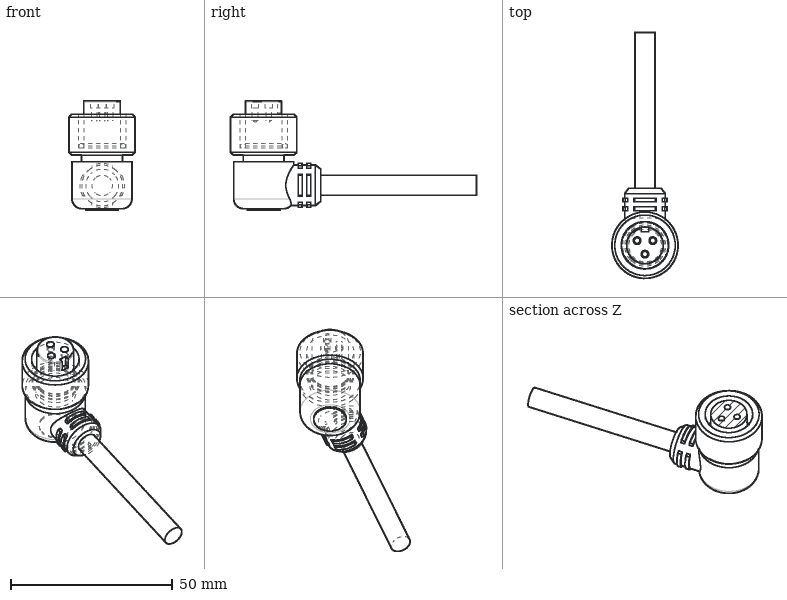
import cadquery as cq
import math


overall_length = 76.2
overall_height = 34.0

overlap = 0.8

nut_diameter = 20.6
nut_bottom = 17.1
nut_top = 29.8
nut_chamfer = 0.9
nut_bore_diameter = 14.7
nut_floor_thickness = 2.3

body_diameter = 18.7
body_top = 15.1
body_bottom_fillet = 3.2
pad_diameter = 10.1
pad_thickness = 0.45
neck_diameter = 12.7

insert_diameter = 11.35
insert_edge_fillet = 0.3
keyway_width = 2.2
keyway_floor_y = 4.3
keyway_depth = 3.8

seal_thickness = 1.6
seal_center_height = 0.6

socket_positions = [(-2.45, 1.45), (2.45, 1.45), (0, -2.75)]
socket_mouth_diameter = 2.3
socket_mouth_depth = 2.3
socket_bore_diameter = 1.75
socket_bore_depth = 6.1
socket_cone_depth = 0.5

cable_axis_z = 7.8
cable_diameter = 6.3
boot_diameter = 12.65
boot_end_diameter = 10.1
boot_end_y = 17.7
boot_taper_length = 1.7

rib_row_positions = [11.3, 14.0]
rib_width = 1.2
rib_diameter = 13.7
rib_base_length = 6.85
rib_crest_length = 6.25

nut_floor = nut_bottom + nut_floor_thickness
cable_end_y = overall_length - nut_diameter / 2


def cylinder_z(diameter, bottom, top):
    return cq.Workplane("XY").workplane(offset=bottom).circle(diameter / 2).extrude(top - bottom)


def cable_plane(y):
    """Plane square to the cable at the given y, with its origin on the cable axis."""
    return cq.Plane(origin=(0, y, cable_axis_z), xDir=(1, 0, 0), normal=(0, 1, 0))


def cylinder_y(diameter, start, end):
    """Cylinder on the cable axis, from y = start to y = end."""
    return cq.Workplane(cable_plane(start)).circle(diameter / 2).extrude(end - start)


def make_body():
    body = cylinder_z(body_diameter, pad_thickness, body_top)
    body = body.faces("<Z").edges().fillet(body_bottom_fillet)
    pad = cylinder_z(pad_diameter, 0, body_top)
    neck = cylinder_z(neck_diameter, body_top - overlap, nut_floor)
    return body.union(pad).union(neck)


def make_nut():
    nut = cylinder_z(nut_diameter, nut_bottom, nut_top)
    nut = nut.faces("<Z or >Z").edges().chamfer(nut_chamfer)
    return nut.cut(cylinder_z(nut_bore_diameter, nut_floor, nut_top))


def make_socket(x, y):
    """Cutter for one socket, revolved about its own axis."""
    mouth_radius = socket_mouth_diameter / 2
    bore_radius = socket_bore_diameter / 2
    profile = [
        (0, 0),
        (mouth_radius, 0),
        (mouth_radius, -socket_mouth_depth),
        (bore_radius, -socket_mouth_depth),
        (bore_radius, -socket_bore_depth),
        (0, -socket_bore_depth - socket_cone_depth),
    ]
    cutter = cq.Workplane("XZ").polyline(profile).close().revolve(360, (0, 0, 0), (0, 1, 0))
    return cutter.translate((x, y, overall_height))


def make_insert():
    insert = cylinder_z(insert_diameter, nut_bottom, overall_height)
    insert = insert.faces(">Z").edges().fillet(insert_edge_fillet)
    keyway = cq.Workplane("XY").box(
        keyway_width, insert_diameter, keyway_depth, centered=(True, False, False)
    )
    insert = insert.cut(keyway.translate((0, keyway_floor_y, overall_height - keyway_depth)))
    for x, y in socket_positions:
        insert = insert.cut(make_socket(x, y))
    return insert


def make_seal():
    """Ring of round section that fills the gap around the insert and sinks slightly into the floor."""
    ring_radius = (insert_diameter + seal_thickness) / 2
    seal_z = nut_floor + seal_center_height
    section = cq.Workplane("XZ").center(ring_radius, seal_z).circle(seal_thickness / 2)
    return section.revolve(360, (-ring_radius, 0, 0), (-ring_radius, 1, 0))


def make_boot():
    boot = cylinder_y(boot_diameter, 0, boot_end_y)
    taper_height = (boot_diameter - boot_end_diameter) / 2
    return boot.faces(">Y").chamfer(boot_taper_length, taper_height)


def make_rib_row(row_y):
    """Four ribs at 90 degrees, the parts of a disc that lie in four wedges with sloping sides."""
    base_half = rib_base_length / 2
    crest_half = rib_crest_length / 2
    base_height = math.sqrt((boot_diameter / 2) ** 2 - base_half**2)
    crest_height = math.sqrt((rib_diameter / 2) ** 2 - crest_half**2)
    flank_slope = (base_half - crest_half) / (crest_height - base_height)
    top = rib_diameter / 2
    top_half = base_half - flank_slope * (top - base_height)
    start = row_y - rib_width / 2
    disc = cylinder_y(rib_diameter, start, row_y + rib_width / 2)
    outline = [
        (0, 0),
        (base_half, base_height),
        (top_half, top),
        (-top_half, top),
        (-base_half, base_height),
    ]
    wedge = cq.Workplane(cable_plane(start)).polyline(outline).close().extrude(rib_width)
    axis_start = (0, 0, cable_axis_z)
    axis_end = (0, 1, cable_axis_z)
    row = wedge
    for quarter in range(1, 4):
        row = row.union(wedge.rotate(axis_start, axis_end, 90 * quarter))
    return row.intersect(disc)


result = make_body().union(make_nut()).union(make_insert()).union(make_seal())
result = result.union(make_boot()).union(cylinder_y(cable_diameter, 0, cable_end_y))
for row_y in rib_row_positions:
    result = result.union(make_rib_row(row_y))